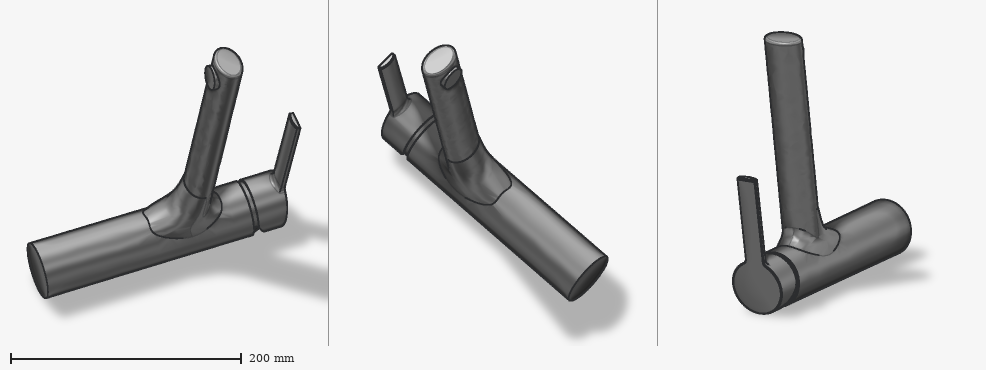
import cadquery as cq
import math

body_length = 191.0
body_radius = 24.5
body_end_radius = 50.0 / 2
neck_radius = 23.2
neck_small_radius = 18.5
neck_length = 13.3

cap_front_y = 195.7
cap_relief_depth = 11.3

lever_tilt = 10.7
lever_base_y = 221.3
lever_tip_z = 102.5
lever_width = 18.0
lever_thickness = 6.0
lever_edge_thickness = 3.9
lever_tip_chamfer = 1.0
lever_root_fillet = 4.5
handle_back_chamfer = 0.7

spout_tilt = 9.8
spout_base_y = 139.7
spout_length = 218.0
spout_width = 35.2
spout_depth = 24.0
spout_tip_fillet = 2.5

aerator_diameter = 21.2
aerator_drop = 17.5
aerator_projection = 2.7

root_sections = [
    (11.0, 178.5, 91.7, 43.5),
    (24.5, 168.7, 101.3, 38.5),
    (29.5, 162.0, 115.3, 37.2),
    (40.3, 158.5, 129.3, 36.2),
    (55.7, 160.7, 137.0, 35.2),
]


def tilted_plane(base_y, tilt):
    """Plane on the body axis whose normal leans from +Z toward +Y."""
    angle = math.radians(tilt)
    normal = (0, math.sin(angle), math.cos(angle))
    return cq.Plane(origin=(0, base_y, 0), xDir=(1, 0, 0), normal=normal)


def side_prism(points):
    """Prism through the body, drawn by (y, z) points."""
    return cq.Workplane("YZ").polyline(points).close().extrude(2 * body_radius, both=True)


def make_body():
    profile = [(0, 0), (body_end_radius, 0), (body_radius, body_length), (0, body_length)]
    return cq.Workplane("XY").polyline(profile).close().revolve(360, (0, 0), (0, 1))


def make_neck():
    """Cylindrical upper half and conical lower half."""
    neck_end_y = body_length + neck_length
    cone_profile = [(0, body_length), (neck_radius, body_length),
                    (neck_small_radius, neck_end_y), (0, neck_end_y)]
    cone = cq.Workplane("XY").polyline(cone_profile).close().revolve(360, (0, 0), (0, 1))
    cylinder = cq.Workplane("XZ", origin=(0, neck_end_y, 0)).circle(neck_radius).extrude(neck_length)
    upper_half = side_prism([(body_length, 0), (neck_end_y, 0),
                             (neck_end_y, body_radius), (body_length, body_radius)])
    return cone.union(cylinder.intersect(upper_half))


def make_cap():
    """Cylinder with a leaning rear face and a slanted relief under its front edge."""
    rear_lean = body_radius * math.tan(math.radians(lever_tilt))
    side = side_prism([
        (cap_front_y, body_radius),
        (cap_front_y, 0),
        (cap_front_y + cap_relief_depth, -body_radius),
        (lever_base_y - rear_lean, -body_radius),
        (lever_base_y + rear_lean, body_radius),
    ])
    cylinder = cq.Workplane("XZ", origin=(0, body_length, 0)).circle(body_radius).extrude(-2 * body_radius)
    return cylinder.intersect(side)


def make_lever():
    """Flat-backed bar with a bowed front and a chamfered tip."""
    cosine = math.cos(math.radians(lever_tilt))
    length = lever_tip_z / cosine
    half_width = lever_width / 2
    plane = tilted_plane(lever_base_y, lever_tilt)
    return (
        cq.Workplane(plane)
        .moveTo(-half_width, 0)
        .lineTo(-half_width, -lever_edge_thickness)
        .threePointArc((0, -lever_thickness), (half_width, -lever_edge_thickness))
        .lineTo(half_width, 0)
        .close()
        .extrude(length)
        .faces(">Z").edges().chamfer(lever_tip_chamfer)
    )


def make_handle():
    """Cap and lever, with a lever root fillet and a chamfer around their shared back face."""
    joined = make_cap().union(make_lever())
    root_zone = cq.selectors.BoxSelector(
        (-lever_width, cap_front_y, 0.9 * body_radius),
        (lever_width, lever_base_y + lever_thickness, 1.1 * body_radius),
        boundingbox=True,
    )
    rounded = joined.edges(root_zone).fillet(lever_root_fillet)
    back_direction = tilted_plane(lever_base_y, lever_tilt).yDir
    back_face = rounded.faces(cq.selectors.DirectionSelector(back_direction))
    return back_face.edges().chamfer(handle_back_chamfer)


def make_spout():
    return (
        cq.Workplane(tilted_plane(spout_base_y, spout_tilt))
        .ellipse(spout_width / 2, spout_depth / 2)
        .extrude(spout_length)
        .faces(">Z").edges().fillet(spout_tip_fillet)
    )


def make_aerator():
    """Disc on the front of the spout, square to the spout axis."""
    spout_plane = tilted_plane(spout_base_y, spout_tilt)
    center = spout_plane.toWorldCoords((0, 0, spout_length - aerator_drop))
    plane = cq.Plane(origin=center, xDir=(1, 0, 0), normal=-spout_plane.yDir)
    return cq.Workplane(plane).circle(aerator_diameter / 2).extrude(spout_depth / 2 + aerator_projection)


def make_root():
    wires = []
    for z, rear_y, front_y, width in root_sections:
        center = cq.Vector(0, (rear_y + front_y) / 2, z)
        half_reach = (rear_y - front_y) / 2
        section = cq.Workplane("XY", origin=center.toTuple()).ellipse(width / 2, half_reach)
        wires.append(section.wires().val())
    return cq.Workplane(cq.Solid.makeLoft(wires))


result = make_body()
for feature in (make_neck(), make_handle(), make_spout(), make_aerator(), make_root()):
    result = result.union(feature)